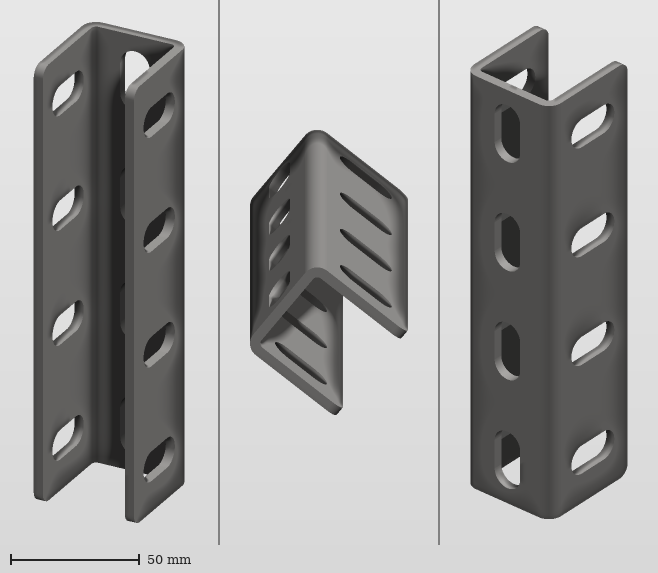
import cadquery as cq

width = 44.0
depth = 46.5
length = 190.0

thickness = 4.0
inner_bend_radius = 2.0
outer_bend_radius = inner_bend_radius + thickness
flange_corner_radius = 5.0

slot_length = 26.0
slot_width = 13.0
slot_count = 4
end_to_slot_center = 20.0
slot_pitch = (length - 2 * end_to_slot_center) / (slot_count - 1)
back_to_flange_slot = 25.5

back_y = depth / 2
flange_slot_y = back_y - back_to_flange_slot
slot_heights = [(i - (slot_count - 1) / 2) * slot_pitch for i in range(slot_count)]


def make_channel():
    """U-shaped channel along Z, open towards -Y, with rounded bends."""
    outer = cq.Workplane("XY").box(width, depth, length)
    outer = outer.edges("|Z and >Y").fillet(outer_bend_radius)
    inner = cq.Workplane("XY").box(width - 2 * thickness, depth, length)
    inner = inner.edges("|Z and >Y").fillet(inner_bend_radius)
    return outer.cut(inner.translate((0, -thickness, 0)))


def round_flange_corners(channel):
    """Round the free corners at both ends of the two flanges."""
    return channel.faces("<Y").edges("|X").fillet(flange_corner_radius)


def back_slots():
    """Cutters for the upright slots through the back wall."""
    return (
        cq.Workplane("XZ", origin=(0, back_y, 0))
        .pushPoints([(0, z) for z in slot_heights])
        .slot2D(slot_length, slot_width, 90)
        .extrude(thickness)
    )


def flange_slots():
    """Cutters for the level slots passing through both flanges."""
    return (
        cq.Workplane("YZ")
        .pushPoints([(flange_slot_y, z) for z in slot_heights])
        .slot2D(slot_length, slot_width)
        .extrude(width / 2, both=True)
    )


channel = round_flange_corners(make_channel())
result = channel.cut(back_slots()).cut(flange_slots())